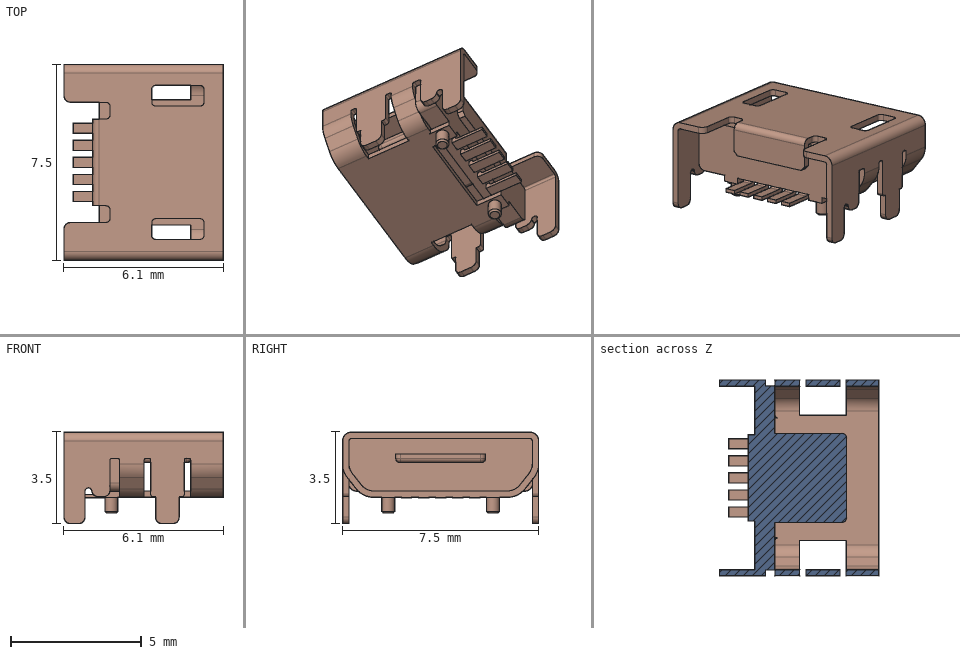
import cadquery as cq


length = 6.1
width = 7.5
shell_height = 2.5
sheet = 0.25
top_bend_radius = 0.34
lower_bend_radius = 0.85
slant_start_z = 0.99
slant_end_y = 2.97
half_width = width / 2
wall_inner_y = half_width - sheet

slot_top_z = 1.49
slot_corner_radius = 0.075
tube_start_x = 2.12
leg_gap_start_x = 3.07
leg_gap_end_x = 4.845
floor_edge_y = 2.4
floor_notch_depth = 0.3
floor_notch_half_width = 2.295
floor_notch_radius = 0.1

leg_bottom_z = -1.005
leg_tip_radius = 0.25
tab_bottom_z = 0.03
rear_leg_width = 0.81
relief_end_x = 1.065
relief_top_z = 0.36
rear_tab_end_x = 1.76
rear_tab_radius = 0.24
front_tab_start_x = 3.315
front_tab_end_x = 4.605
front_tab_radius = 0.1
front_leg_start_x = 3.5
front_leg_end_x = 4.41

window_start_x = 3.36
window_end_x = 5.355
window_inner_y = 2.15
window_outer_y = 2.94
window_radius = 0.15
notch_end_x = 1.77
notch_half_width = 2.295
notch_inner_radius = 0.165
notch_outer_radius = 0.255
flap_half_width = 1.66
flap_bottom_z = 1.24
flap_bend_radius = 0.24
flap_chamfer = 0.16

housing_back_x = 1.35
housing_half_width = 3.525
housing_bottom_z = 0.23
housing_corner_radius = 0.32
foot_inner_y = 1.68
peg_x = 1.815
peg_y = 2.0
peg_diameter = 0.5
peg_bottom_z = -0.6
peg_chamfer = 0.07
tongue_end_x = 4.875
tongue_half_width = 1.72
tongue_bottom_z = 1.33
tongue_thickness = 0.34
tongue_corner_radius = 0.19
tongue_edge_radius = 0.165

pin_count = 5
pin_pitch = 0.65
pin_width = 0.4
pin_thickness = 0.14
pin_bottom_z = -0.02
pin_tip_x = 0.35
pin_riser_x = 1.54
pin_bend_radius = 0.11

housing_top_z = shell_height - sheet
flap_back_x = housing_back_x - sheet
floor_notch_end_x = tube_start_x + floor_notch_depth

margin = 0.075
fine_margin = 0.01


def block(x0, x1, y0, y1, z0, z1):
    """Box given by its limits along each axis."""
    return cq.Workplane("XY").box(x1 - x0, y1 - y0, z1 - z0, centered=False).translate((x0, y0, z0))


def both_sides(body):
    """The body together with its mirror image across the XZ plane."""
    return body.union(body.mirror("XZ"))


def shell_tube():
    """D-shaped sheet metal tube running the full length."""
    solid = (
        cq.Workplane("YZ")
        .polyline([
            (half_width, shell_height),
            (half_width, slant_start_z),
            (slant_end_y, 0),
            (-slant_end_y, 0),
            (-half_width, slant_start_z),
            (-half_width, shell_height),
        ])
        .close()
        .extrude(length)
    )
    solid = solid.edges("|X and >Z").fillet(top_bend_radius)
    lower_corners = cq.selectors.BoxSelector((0, -width, -margin), (length, width, slant_start_z + margin))
    solid = solid.edges("|X").edges(lower_corners).fillet(lower_bend_radius)
    return solid.faces("<X or >X").shell(-sheet)


def trimmed_tube():
    """Tube with its lower part removed at the pin end and around the front legs."""
    rear_opening = block(0, tube_start_x, -width, width, -margin, slot_top_z)
    leg_gap = both_sides(
        block(leg_gap_start_x, leg_gap_end_x, floor_edge_y, width, -margin, slot_top_z)
    )
    floor_notch = block(
        tube_start_x, floor_notch_end_x, -floor_notch_half_width, floor_notch_half_width,
        -margin, sheet + margin,
    )
    tube = shell_tube().cut(rear_opening).cut(leg_gap).cut(floor_notch)
    notch_corners = cq.selectors.BoxSelector(
        (tube_start_x - margin, -floor_edge_y, -margin),
        (tube_start_x + margin, floor_edge_y, sheet + margin),
    )
    return tube.edges("|Z").edges(notch_corners).fillet(floor_notch_radius)


def wall_block(x0, x1, z0, z1):
    """Piece of the +Y side wall."""
    return block(x0, x1, wall_inner_y, half_width, z0, z1)


def rear_leg():
    """Solder leg and rounded tab, joined by a bridge over a round-topped relief."""
    leg = wall_block(0, rear_leg_width, leg_bottom_z, slot_top_z)
    leg = leg.edges("|Y and <Z").fillet(leg_tip_radius)
    tab = wall_block(relief_end_x, rear_tab_end_x, tab_bottom_z, slot_top_z)
    tab = tab.edges("|Y and <Z").fillet(rear_tab_radius)
    relief_radius = (relief_end_x - rear_leg_width) / 2
    relief_center_x = rear_leg_width + relief_radius
    relief_center_z = relief_top_z - relief_radius
    bridge = wall_block(rear_leg_width, relief_end_x, relief_center_z, slot_top_z)
    relief = (
        cq.Workplane("XZ", origin=(relief_center_x, half_width, relief_center_z))
        .circle(relief_radius)
        .extrude(sheet)
    )
    return leg.union(tab).union(bridge.cut(relief))


def front_leg():
    """Solder leg below a wider shouldered tab."""
    leg = wall_block(front_leg_start_x, front_leg_end_x, leg_bottom_z, slot_top_z)
    leg = leg.edges("|Y and <Z").fillet(leg_tip_radius)
    tab = wall_block(front_tab_start_x, front_tab_end_x, tab_bottom_z, slot_top_z)
    tab = tab.edges("|Y and <Z").fillet(front_tab_radius)
    return tab.union(leg)


def top_notch():
    """Cutter for the rear edge of the top plate, deeper on both sides of the flap."""
    cut_bottom_z = housing_top_z - margin
    cut_top_z = shell_height + margin
    relief = block(0, notch_end_x, flap_half_width, notch_half_width, cut_bottom_z, cut_top_z)
    relief = relief.edges("|Z and >X").fillet(notch_inner_radius)
    middle = block(0, housing_back_x, -flap_half_width, flap_half_width, cut_bottom_z, cut_top_z)
    return both_sides(relief).union(middle)


def flap():
    """Tongue of the top plate bent down over the back of the housing."""
    plate = block(
        flap_back_x, housing_back_x, -flap_half_width, flap_half_width, flap_bottom_z, shell_height
    )
    plate = plate.edges("|X and <Z").chamfer(flap_chamfer)
    return plate.edges("|Y and <X and >Z").fillet(flap_bend_radius)


def window():
    """Cutter for one latch window in the top plate."""
    cutter = block(
        window_start_x, window_end_x, window_inner_y, window_outer_y,
        housing_top_z - margin, shell_height + margin,
    )
    return cutter.edges("|Z").fillet(window_radius)


def shell():
    """Complete sheet metal shell with its four legs."""
    body = trimmed_tube().union(both_sides(rear_leg().union(front_leg())))
    slot_ends = cq.selectors.BoxSelector(
        (rear_tab_end_x - margin, -width, slot_top_z - fine_margin),
        (leg_gap_end_x + margin, width, slot_top_z + fine_margin),
    )
    body = body.edges("|Y").edges(slot_ends).fillet(slot_corner_radius)
    body = body.cut(top_notch())
    notch_mouth = cq.selectors.BoxSelector(
        (-margin, -notch_half_width - margin, housing_top_z - margin),
        (margin, notch_half_width + margin, shell_height + margin),
    )
    body = body.edges("|Z").edges(notch_mouth).fillet(notch_outer_radius)
    return body.union(flap()).cut(both_sides(window()))


def foot_with_peg():
    """Housing foot beside the pins, carrying a round locating peg."""
    foot = block(
        housing_back_x, floor_notch_end_x, foot_inner_y, floor_notch_half_width, 0, sheet
    )
    peg = (
        cq.Workplane("XY", origin=(peg_x, peg_y, peg_bottom_z))
        .circle(peg_diameter / 2)
        .extrude(-peg_bottom_z)
        .faces("<Z")
        .chamfer(peg_chamfer)
    )
    return foot.union(peg)


def housing():
    """Moulded back block with feet, pegs and the contact tongue."""
    body = block(
        housing_back_x, tube_start_x, -housing_half_width, housing_half_width,
        housing_bottom_z, housing_top_z,
    )
    body = body.edges("|X and <Z").fillet(housing_corner_radius)
    tongue = block(
        tube_start_x, tongue_end_x, -tongue_half_width, tongue_half_width,
        tongue_bottom_z, tongue_bottom_z + tongue_thickness,
    )
    tongue = tongue.edges("|Z and >X").fillet(tongue_corner_radius)
    tongue = tongue.faces("<Z").edges("not(<X)").fillet(tongue_edge_radius)
    return body.union(tongue).union(both_sides(foot_with_peg()))


def pin(y):
    """Flat solder pin that bends up into the housing."""
    y0 = y - pin_width / 2
    y1 = y + pin_width / 2
    pin_top_z = pin_bottom_z + pin_thickness
    foot = block(pin_tip_x, pin_riser_x + pin_thickness, y0, y1, pin_bottom_z, pin_top_z)
    riser = block(
        pin_riser_x, pin_riser_x + pin_thickness, y0, y1, pin_bottom_z, housing_bottom_z + sheet
    )
    inner_bend = cq.selectors.BoxSelector(
        (pin_riser_x - fine_margin, y0, pin_top_z - fine_margin),
        (pin_riser_x + fine_margin, y1, pin_top_z + fine_margin),
    )
    return foot.union(riser).edges("|Y").edges(inner_bend).fillet(pin_bend_radius)


result = shell().union(housing())
for index in range(pin_count):
    pin_y = (index - (pin_count - 1) / 2) * pin_pitch
    result = result.union(pin(pin_y))